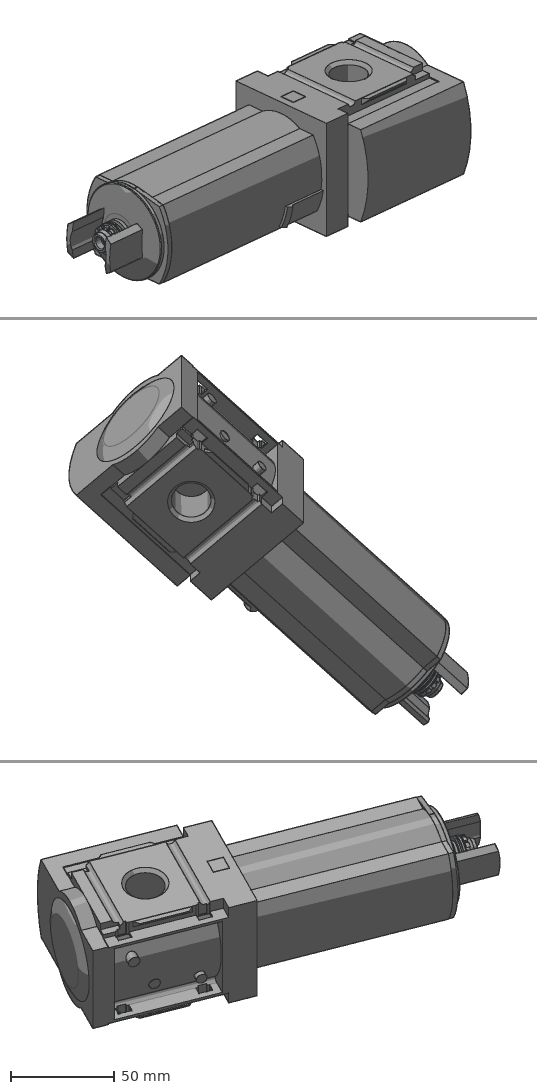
import cadquery as cq
import math


HOUSING_SIZE = 62.0
HALF = HOUSING_SIZE / 2
TOTAL_WIDTH = 75.8
TOTAL_LENGTH = 219.8
HOUSING_LENGTH = 85.0
FRAME_LENGTH = 70.3
FRAME_HALF_HEIGHT = 25.3
REAR_PLATE = 8.1
SIDE_COVER_FLAT = 39.8
STRIP_DROP = 0.7
BUMP_HALF_WIDTH = 15.2

BLOCK_LEFT = -23.7
BLOCK_RIGHT = 24.5
NOTCH_LEFT = 4.0
NOTCH_RIGHT = 4.6
NOTCH_FLOOR = 27.0
NOTCH_END = 17.4

PORT_Y = -39.0
PORT_DIAMETER = 19.1
PORT_CHAMFER = 1.87
PORT_DEPTH = 22.0

GROOVE_OFFSET = 22.2
GROOVE_WIDTH = 4.8
GROOVE_DEPTH = 2.0

SLOT_OFFSET = 20.9
SLOT_LENGTH = 7.0
SLOT_LEFT = -27.7
SLOT_NOTCH_LENGTH = 4.5
SLOT_NOTCH_DEPTH = 1.3
SLOT_BITE = 0.2

PAD_LENGTH = 30.8
PAD_REACH = 2.6
PAD_TOP = 30.8
PAD_HEIGHT = 3.5

WINDOW_HALF_HEIGHT = 23.0
WINDOW_REAR = -11.2
WINDOW_LENGTH = 55.8
CROWN_HALF_HEIGHT = 20.9
CROWN_EDGE = -21.0
CROWN_PEAK = -29.5

PIN_SEAT = -22.0
PINS = [
    (-21.5, 11.0, -30.8, 6.0),
    (-33.0, -8.5, -28.5, 6.0),
    (-56.5, -11.0, -30.8, 5.5),
]

MARK_Y = -76.7
MARK_SIZE = 8.4
MARK_DEPTH = 0.2

DOME_RADIUS = 26.0
DOME_FLAT_RADIUS = 18.7
DOME_HEIGHT = 2.9
DOME_SHOULDER = (22.6, 1.8)

BOWL_TOP = -HOUSING_LENGTH
BODY_LENGTH = 105.0
END_BAND = 2.6
BARREL_RADIUS = 24.8
BOWL_FLAT = 21.3
BOWL_CORNER = 22.0
BOWL_SIDE = 28.0
SEAM = 0.1

CAP_RADIUS = 50.3 / 2
CAP_THICKNESS = 2.2
CAP_CHAMFER = 0.5
CROWN_HEIGHT = 3.0
CROWN_FLAT_RADIUS = 10.5
CROWN_MIDDLE = (17.5, 2.0)

TAB_INNER = 11.2
TAB_OUTER = 14.7
TAB_END = DOME_HEIGHT - TOTAL_LENGTH
TAB_INNER_HALF = 10.0
TAB_OUTER_HALF = 7.7
TAB_END_RISE = 1.3
TAB_RELIEF_RADIUS = 12.3

STEM_STEPS = [
    (8.0, 2.0),
    (6.0, 2.0),
    (8.0, 1.0),
    (7.3, 0.9),
    (8.0, 1.0),
    (6.2, 0.9),
]
TOOTH_COUNT = 12
TOOTH_GAP = 1.3
TOOTH_LENGTH = 2.0
TOOTH_TIP_RADIUS = 7.5
TOOTH_ROOT_RADIUS = 6.2
NECK_RADIUS = 5.7
NECK_LENGTH = 2.2
TIP_RADIUS = 5.0
TIP_LENGTH = 2.0
STEM_TAPER = 0.5
BORE_RADIUS = 6.0 / 2
BORE_CHAMFER = 0.7
BORE_DEPTH = 4.5

RAMP_START = (4.5, 24.6)

LATCH_LENGTH = 24.5
LATCH_THICKNESS = 1.5
LATCH_TOP = -6.5
LATCH_BOTTOM = -19.3
LATCH_NOSE = 1.8
LATCH_NOSE_START = 20.9
LATCH_NOSE_PEAK = 22.5
LATCH_ROOT = 2.2


def block(x0, x1, y0, y1, z0, z1):
    """Box between two opposite corners."""
    return cq.Workplane("XY").box(x1 - x0, y1 - y0, z1 - z0, centered=False).translate((x0, y0, z0))


def section(y):
    """XZ sketch plane at y; extrusions run toward -Y and local axes are X and Z."""
    return cq.Workplane("XZ", origin=(0, y, 0))


def both_faces(solid):
    """The solid together with its mirror image below the XY plane."""
    return solid.union(solid.mirror("XY"))


def turned(points):
    """Solid of revolution about Y from (radius, y) corners, closed along the axis."""
    outline = [(0, points[0][1]), *points, (0, points[-1][1])]
    return cq.Workplane("XY").polyline(outline).close().revolve(360, (0, 0, 0), (0, 1, 0))


def frame():
    h = FRAME_HALF_HEIGHT
    side_cover_face = TOTAL_WIDTH - HALF
    outline = (
        section(0)
        .moveTo(-HALF, -h)
        .lineTo(SIDE_COVER_FLAT, -h)
        .threePointArc((side_cover_face, 0), (SIDE_COVER_FLAT, h))
        .lineTo(-HALF, h)
        .close()
    )
    strips = both_faces(block(-HALF, HALF, -FRAME_LENGTH, -REAR_PLATE, h - STRIP_DROP, HALF))
    return outline.extrude(FRAME_LENGTH).cut(strips)


def rear_bump():
    bump = (
        section(0)
        .moveTo(-BUMP_HALF_WIDTH, 0)
        .lineTo(-BUMP_HALF_WIDTH, FRAME_HALF_HEIGHT)
        .threePointArc((0, HALF), (BUMP_HALF_WIDTH, FRAME_HALF_HEIGHT))
        .lineTo(BUMP_HALF_WIDTH, 0)
        .close()
        .extrude(REAR_PLATE)
    )
    return both_faces(bump)


def dome():
    return (
        cq.Workplane("XY")
        .lineTo(DOME_RADIUS, 0)
        .threePointArc(DOME_SHOULDER, (DOME_FLAT_RADIUS, DOME_HEIGHT))
        .lineTo(0, DOME_HEIGHT)
        .close()
        .revolve(360, (0, 0, 0), (0, 1, 0))
    )


def corner_notches():
    left = block(BLOCK_LEFT, BLOCK_LEFT + NOTCH_LEFT, -NOTCH_END, -REAR_PLATE, NOTCH_FLOOR, HALF)
    right = block(BLOCK_RIGHT - NOTCH_RIGHT, BLOCK_RIGHT, -NOTCH_END, -REAR_PLATE, NOTCH_FLOOR, HALF)
    return both_faces(left.union(right))


def groove(y):
    radius = (GROOVE_WIDTH ** 2 / 4 + GROOVE_DEPTH ** 2) / (2 * GROOVE_DEPTH)
    rod = (
        cq.Workplane("YZ", origin=(BLOCK_LEFT, y, HALF - GROOVE_DEPTH + radius))
        .circle(radius)
        .extrude(BLOCK_RIGHT - BLOCK_LEFT)
    )
    return both_faces(rod)


def clip_slot(y):
    """Slot through the frame wall into the window, with a narrower notch into the block."""
    floor = CROWN_HALF_HEIGHT
    wide_right = BLOCK_LEFT + SLOT_BITE
    wide = block(SLOT_LEFT, wide_right, y - SLOT_LENGTH / 2, y + SLOT_LENGTH / 2, floor, HALF)
    narrow = block(
        BLOCK_LEFT, BLOCK_LEFT + SLOT_NOTCH_DEPTH,
        y - SLOT_NOTCH_LENGTH / 2, y + SLOT_NOTCH_LENGTH / 2, floor, HALF,
    )
    return both_faces(wide.union(narrow))


def pad(side_x, direction):
    """Wedge on the block side, narrowing outward at both ends and underneath."""
    half = PAD_LENGTH / 2
    tip_half = half - PAD_REACH
    plan = [(0, -half), (direction * PAD_REACH, -tip_half), (direction * PAD_REACH, tip_half), (0, half)]
    prism = (
        cq.Workplane("XY", origin=(side_x, PORT_Y, PAD_TOP - PAD_HEIGHT))
        .polyline(plan)
        .close()
        .extrude(PAD_HEIGHT)
    )
    undercut = (
        cq.Workplane("XZ", origin=(side_x, PORT_Y + half, PAD_TOP - PAD_HEIGHT))
        .polyline([(0, 0), (direction * PAD_REACH, 0), (direction * PAD_REACH, PAD_REACH)])
        .close()
        .extrude(PAD_LENGTH)
    )
    return both_faces(prism.cut(undercut))


def port():
    radius = PORT_DIAMETER / 2
    bore = cq.Workplane("XY", origin=(0, PORT_Y, HALF - PORT_DEPTH)).circle(radius).extrude(PORT_DEPTH)
    mouth = cq.Solid.makeCone(
        radius, radius + PORT_CHAMFER, PORT_CHAMFER, pnt=cq.Vector(0, PORT_Y, HALF - PORT_CHAMFER)
    )
    return both_faces(bore.union(mouth))


def window():
    """Opening in the -X side with rounded inner corners and an outward-crowned floor."""
    fillet = WINDOW_HALF_HEIGHT - CROWN_HALF_HEIGHT
    wall_x = CROWN_EDGE - fillet
    fillet_x = wall_x + fillet * math.sin(math.radians(45))
    fillet_z = CROWN_HALF_HEIGHT + fillet * math.cos(math.radians(45))
    return (
        section(WINDOW_REAR)
        .moveTo(-HALF, -WINDOW_HALF_HEIGHT)
        .lineTo(wall_x, -WINDOW_HALF_HEIGHT)
        .threePointArc((fillet_x, -fillet_z), (CROWN_EDGE, -CROWN_HALF_HEIGHT))
        .threePointArc((CROWN_PEAK, 0), (CROWN_EDGE, CROWN_HALF_HEIGHT))
        .threePointArc((fillet_x, fillet_z), (wall_x, WINDOW_HALF_HEIGHT))
        .lineTo(-HALF, WINDOW_HALF_HEIGHT)
        .close()
        .extrude(WINDOW_LENGTH)
    )


def window_pin(y, z, end_x, diameter):
    """Pin standing on the window floor with its end face at end_x."""
    return cq.Workplane("YZ", origin=(end_x, y, z)).circle(diameter / 2).extrude(PIN_SEAT - end_x)


def pin_clearance(y, z, end_x, diameter):
    """Space in front of a pin, which keeps its end face clear of the crowned floor."""
    return cq.Workplane("YZ", origin=(-HALF, y, z)).circle(diameter / 2).extrude(end_x + HALF)


def mark_recess():
    half = MARK_SIZE / 2
    return block(-half, half, MARK_Y - half, MARK_Y + half, HALF - MARK_DEPTH, HALF)


def make_housing():
    body = frame()
    body = body.union(rear_bump())
    body = body.union(dome())
    body = body.union(block(BLOCK_LEFT, BLOCK_RIGHT, -FRAME_LENGTH, -REAR_PLATE, -HALF, HALF))
    body = body.union(block(-HALF, HALF, -HOUSING_LENGTH, -FRAME_LENGTH, -HALF, HALF))
    body = body.cut(corner_notches())
    body = body.cut(window())
    for side in (-1, 1):
        body = body.cut(groove(PORT_Y + side * GROOVE_OFFSET))
        body = body.cut(clip_slot(PORT_Y + side * SLOT_OFFSET))
    body = body.union(pad(BLOCK_LEFT, -1))
    body = body.union(pad(BLOCK_RIGHT, 1))
    for pin in PINS:
        body = body.union(window_pin(*pin)).cut(pin_clearance(*pin))
    body = body.cut(port())
    return body.cut(mark_recess())


def bowl_shell(y, length, inset):
    """Crowned-side prism joined to a round barrel, all outlines moved inward by the inset."""
    x = BOWL_CORNER - inset
    z = BOWL_FLAT - inset
    side = BOWL_SIDE - inset
    prism = (
        section(y)
        .moveTo(-x, -z)
        .lineTo(x, -z)
        .threePointArc((side, 0), (x, z))
        .lineTo(-x, z)
        .threePointArc((-side, 0), (-x, -z))
        .close()
        .extrude(length)
    )
    barrel = section(y).circle(BARREL_RADIUS - inset).extrude(length)
    return prism.union(barrel)


def band_ramp(y):
    """Sloped lip on the end band, from the barrel down to the upper +X corner."""
    return (
        section(y)
        .polyline([RAMP_START, (BOWL_CORNER - SEAM, BOWL_FLAT - SEAM), (RAMP_START[0], 0)])
        .close()
        .extrude(END_BAND)
    )


def end_cap(y):
    """Disc with a chamfered rim and a shallow crown that ends in a flat."""
    face = y - CAP_THICKNESS
    return (
        cq.Workplane("XY", origin=(0, face, 0))
        .moveTo(0, CAP_THICKNESS)
        .lineTo(CAP_RADIUS, CAP_THICKNESS)
        .lineTo(CAP_RADIUS, CAP_CHAMFER)
        .lineTo(CAP_RADIUS - CAP_CHAMFER, 0)
        .threePointArc((CROWN_MIDDLE[0], -CROWN_MIDDLE[1]), (CROWN_FLAT_RADIUS, -CROWN_HEIGHT))
        .lineTo(0, -CROWN_HEIGHT)
        .close()
        .revolve(360, (0, 0, 0), (0, 1, 0))
    )


def tab(side, root_y):
    """Finger plate with bevelled long edges, a rounded end and a round relief inside."""
    length = root_y - TAB_END
    plate = (
        section(root_y)
        .polyline([
            (side * TAB_INNER, -TAB_INNER_HALF),
            (side * TAB_OUTER, -TAB_OUTER_HALF),
            (side * TAB_OUTER, TAB_OUTER_HALF),
            (side * TAB_INNER, TAB_INNER_HALF),
        ])
        .close()
        .extrude(length)
    )
    rounded_end = (
        cq.Workplane("YZ")
        .moveTo(root_y, -TAB_INNER_HALF)
        .lineTo(TAB_END + TAB_END_RISE, -TAB_INNER_HALF)
        .threePointArc((TAB_END, 0), (TAB_END + TAB_END_RISE, TAB_INNER_HALF))
        .lineTo(root_y, TAB_INNER_HALF)
        .close()
        .extrude(TAB_OUTER, both=True)
    )
    relief = section(root_y).circle(TAB_RELIEF_RADIUS).extrude(length)
    return plate.intersect(rounded_end).cut(relief)


def drain_stem(root_y):
    """Stepped drain fitting with a toothed collar and a blind bore in its tip."""
    outline = []
    y = root_y
    for radius, length in STEM_STEPS:
        outline += [(radius, y), (radius, y - length)]
        y -= length
    teeth_end = y - TOOTH_LENGTH
    neck_end = teeth_end - NECK_LENGTH
    tip = neck_end - TIP_LENGTH
    outline += [(TOOTH_TIP_RADIUS, y), (TOOTH_TIP_RADIUS, teeth_end)]
    outline += [(NECK_RADIUS, teeth_end), (NECK_RADIUS - STEM_TAPER, neck_end)]
    outline += [(TIP_RADIUS, neck_end), (TIP_RADIUS - STEM_TAPER, tip)]
    stem = turned(outline)
    for i in range(TOOTH_COUNT):
        gap = block(TOOTH_ROOT_RADIUS, TAB_INNER, teeth_end, y, -TOOTH_GAP / 2, TOOTH_GAP / 2)
        stem = stem.cut(gap.rotate((0, 0, 0), (0, 1, 0), (i + 0.5) * 360 / TOOTH_COUNT))
    bore_floor = tip + BORE_DEPTH
    bore = turned([
        (BORE_RADIUS, bore_floor),
        (BORE_RADIUS, tip + BORE_CHAMFER),
        (BORE_RADIUS + BORE_CHAMFER, tip),
    ])
    return stem.cut(bore)


def latch():
    """Curved slide on the +X side of the bowl, ending in a raised wedge-shaped nose."""
    rise = BOWL_SIDE - BOWL_CORNER
    radius = (BOWL_FLAT ** 2 + rise ** 2) / (2 * rise)

    def surface(z, thickness):
        """Point at height z, one thickness outside the bowl's crowned side."""
        return (BOWL_SIDE - radius + math.sqrt(radius ** 2 - z ** 2) + thickness, z)

    def profile(distance, thickness):
        middle = (LATCH_TOP + LATCH_BOTTOM) / 2
        return (
            section(BOWL_TOP - distance)
            .moveTo(*surface(LATCH_BOTTOM, -LATCH_ROOT))
            .lineTo(*surface(LATCH_BOTTOM, thickness))
            .threePointArc(surface(middle, thickness), surface(LATCH_TOP, thickness))
            .lineTo(*surface(LATCH_TOP, -LATCH_ROOT))
            .close()
        )

    def wedge(start, start_thickness, end, end_thickness):
        wires = [profile(start, start_thickness), profile(end, end_thickness)]
        return cq.Workplane(cq.Solid.makeLoft([w.val() for w in wires], True))

    peak = LATCH_THICKNESS + LATCH_NOSE
    slide = profile(0, LATCH_THICKNESS).extrude(LATCH_NOSE_START)
    slide = slide.union(wedge(LATCH_NOSE_START, LATCH_THICKNESS, LATCH_NOSE_PEAK, peak))
    return slide.union(wedge(LATCH_NOSE_PEAK, peak, LATCH_LENGTH, LATCH_THICKNESS))


def make_bowl():
    body_end = BOWL_TOP - BODY_LENGTH
    cap_face = body_end - CAP_THICKNESS
    crown_face = cap_face - CROWN_HEIGHT
    body = bowl_shell(BOWL_TOP, BODY_LENGTH - END_BAND, 0)
    body = body.union(bowl_shell(body_end + END_BAND, END_BAND, SEAM))
    body = body.union(band_ramp(body_end + END_BAND))
    body = body.union(end_cap(body_end))
    for side in (-1, 1):
        body = body.union(tab(side, cap_face))
    body = body.union(drain_stem(crown_face))
    return body.union(latch())


housing = make_housing()
bowl = make_bowl()

result = cq.Compound.makeCompound([housing.val(), bowl.val()])